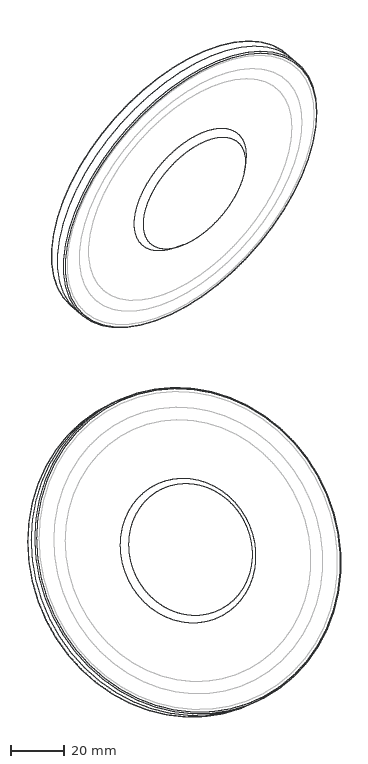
import cadquery as cq

rim_radius = 62.5
disc_thickness = 8.0
hub_thickness = 12.0

lip_height = 0.19
lip_chamfer = 0.5
lip_crest_radius = 123.8 / 2
lip_foot_radius = 60.9

dish_outer_radius = 54.9
dish_floor_radius = 50.1
dish_depth = 0.2
hub_top_radius = 25.2

half_disc = disc_thickness / 2
half_hub = hub_thickness / 2
face_height = half_disc - lip_height
floor_height = face_height - dish_depth
hub_base_radius = hub_top_radius + half_hub - floor_height


def make_half(side):
    """Revolve one half about X; side is -1 for the -X half and +1 for the +X half."""
    profile = (
        cq.Workplane("XY")
        .moveTo(0, 0)
        .lineTo(0, rim_radius)
        .lineTo(side * (half_disc - lip_chamfer), rim_radius)
        .lineTo(side * half_disc, lip_crest_radius)
        .lineTo(side * face_height, lip_foot_radius)
        .lineTo(side * face_height, dish_outer_radius)
        .lineTo(side * floor_height, dish_floor_radius)
        .lineTo(side * floor_height, hub_base_radius)
        .lineTo(side * half_hub, hub_top_radius)
        .lineTo(side * half_hub, 0)
        .close()
    )
    return profile.revolve(360, (0, 0, 0), (1, 0, 0))


left_half = make_half(-1)
right_half = make_half(1)
result = cq.Compound.makeCompound([left_half.val(), right_half.val()])